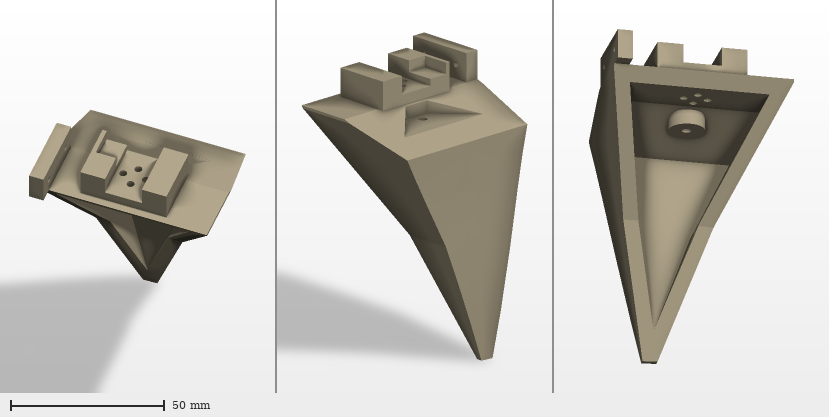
import cadquery as cq

half_width = 30.0
tip_z = -84.3
knee_z = -41.9
deck_front_y = -12.5
deck_back_y = 7.5
deck_edge = 0.9
tip_y = 35.5
tip_thickness = 1.9
shoulder_y = 33.0
shoulder_z = -9.0
back_curve = [(33.4, -25.5), (34.4, -42.4), (35.3, -60.35), (tip_y, tip_z)]

ceiling_z = -4.7
ceiling_start_y = 6.4
ceiling_end_z = -13.5
cavity_knee_z = -40.8
cavity_apex_y = 30.2
cavity_apex_z = -75.0
reach = 94.3

block_width = 30.0
block_depth = 20.0
block_height = 10.0
slot_width = 12.8
slot_floor_z = 3.6
pocket_left_wall = 1.5
pocket_depth = 4.0
sensor_hole = 2.5
sensor_spacing_x = 7.9
sensor_spacing_y = 7.0

tab_width = 5.0
tab_length = 25.0
tab_hole = 2.0
tab_hole_spacing = 15.1

recess_floor_z = -5.5
recess_back_y = 23.0
recess_half_width = 17.7
boss_y = 13.1
boss_diameter = 12.1
boss_height = 5.0
boss_hole = 3.0


def box_between(low, high):
    """Axis-aligned box given by two opposite corners."""
    size = [b - a for a, b in zip(low, high)]
    return cq.Workplane("XY").box(*size, centered=False).translate(low)


def prism_along_y(points):
    """Extrude an XZ outline through the whole depth of the part."""
    return cq.Workplane("XZ").polyline(points).close().extrude(reach, both=True)


def make_shell():
    """Bent wedge: a side profile trimmed by a tapering front outline."""
    side = (
        cq.Workplane("YZ")
        .moveTo(deck_front_y, 0)
        .lineTo(deck_back_y, 0)
        .lineTo(shoulder_y, shoulder_z)
        .spline(back_curve, includeCurrent=True)
        .lineTo(tip_y - tip_thickness, tip_z)
        .lineTo(knee_y, knee_z)
        .close()
        .extrude(half_width, both=True)
    )
    front = prism_along_y([
        (-half_width, 0), (half_width, 0), (half_width, -deck_edge),
        (10.0, knee_z), (-5.0, tip_z + 0.3), (-10.0, tip_z), (-half_width, -deck_edge),
    ])
    return side.intersect(front)


knee_y = 17.35


def make_cavity():
    """Hollow open to the front, with a sloping ceiling parallel to the top."""
    top_slope = shoulder_z / (shoulder_y - deck_back_y)
    ceiling_end_y = ceiling_start_y + (ceiling_end_z - ceiling_z) / top_slope
    side = (
        cq.Workplane("YZ")
        .moveTo(-reach, ceiling_z)
        .lineTo(ceiling_start_y, ceiling_z)
        .lineTo(ceiling_end_y, ceiling_end_z)
        .lineTo(cavity_apex_y, cavity_apex_z)
        .lineTo(-reach, cavity_apex_z)
        .close()
        .extrude(half_width, both=True)
    )
    front = prism_along_y([(-24.0, ceiling_z), (22.5, ceiling_z), (5.3, cavity_knee_z), (-7.2, cavity_apex_z)])
    return side.intersect(front)


def make_recess():
    """Flat-floored pocket in the sloping top; its 45 degree sides narrow toward the block."""
    front_y = block_depth / 2
    front_half_width = recess_half_width - (recess_back_y - front_y)
    outline = [
        (-recess_half_width, recess_back_y),
        (recess_half_width, recess_back_y),
        (front_half_width, front_y),
        (-front_half_width, front_y),
    ]
    return (
        cq.Workplane("XY", origin=(0, 0, recess_floor_z))
        .polyline(outline).close().extrude(-recess_floor_z)
    )


def make_block():
    """Block with a slot along Y and a stepped pocket in its left cheek."""
    slot_x = slot_width / 2
    block = cq.Workplane("XY").box(block_width, block_depth, block_height, centered=(True, True, False))
    slot = box_between((-slot_x, -block_depth, slot_floor_z), (slot_x, block_depth, block_height))
    pocket = box_between(
        (pocket_left_wall - block_width / 2, 0, block_height - pocket_depth),
        (-slot_x, block_depth / 2, block_height),
    )
    return block.cut(slot).cut(pocket)


def make_tab():
    """Upright tab flush with the left side, crossed by two pin holes."""
    tab_center_y = deck_back_y - tab_length / 2
    tab = box_between(
        (-half_width, deck_back_y - tab_length, 0),
        (tab_width - half_width, deck_back_y, block_height),
    )
    holes = (
        cq.Workplane("YZ", origin=(-half_width, tab_center_y, block_height / 2))
        .rarray(tab_hole_spacing, 0.9, 2, 1)
        .circle(tab_hole / 2).extrude(tab_width)
    )
    return tab.cut(holes)


boss = (
    cq.Workplane("XY", origin=(0, boss_y, recess_floor_z - boss_height))
    .circle(boss_diameter / 2).extrude(boss_height)
)
boss_bore = (
    cq.Workplane("XY", origin=(0, boss_y, recess_floor_z - boss_height))
    .circle(boss_hole / 2).extrude(boss_height)
)
sensor_points = [
    (sensor_spacing_x / 2, 0), (-sensor_spacing_x / 2, 0),
    (0, sensor_spacing_y / 2), (0, -sensor_spacing_y / 2),
]
sensor_bores = (
    cq.Workplane("XY", origin=(0, 0, recess_floor_z))
    .pushPoints(sensor_points)
    .circle(sensor_hole / 2).extrude(block_height - recess_floor_z)
)

shell = make_shell().cut(make_cavity()).cut(make_recess()).union(boss)
result = shell.union(make_block()).union(make_tab()).cut(boss_bore).cut(sensor_bores)